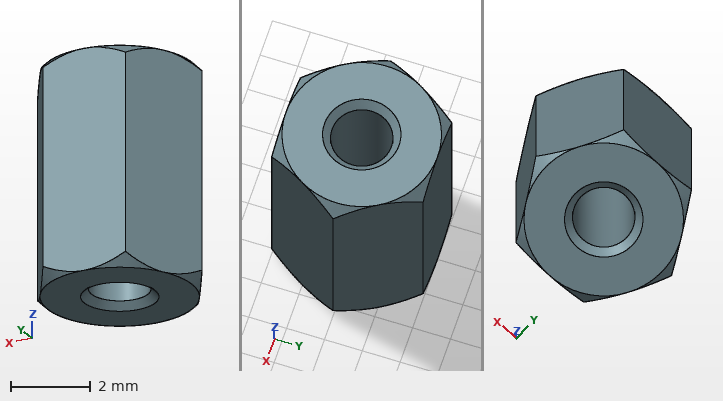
import cadquery as cq
import math

height = 6.0
across_flats = 4.0
bore_diameter = 1.565
countersink_diameter = 1.97

across_corners = across_flats / math.cos(math.radians(30))
corner_chamfer = (across_corners - across_flats) / 2
countersink_depth = (countersink_diameter - bore_diameter) / 2


def hexagonal_body():
    """Hexagonal prism, centred on Z, with two corners on the X axis."""
    return cq.Workplane("XY").polygon(6, across_corners).extrude(height)


def chamfer_envelope():
    """Cylinder through the corners; its 45-degree chamfers reach the flats at both ends."""
    return (
        cq.Workplane("XY")
        .circle(across_corners / 2)
        .extrude(height)
        .edges("%CIRCLE")
        .chamfer(corner_chamfer)
    )


def countersunk_bore():
    """Through bore with a 45-degree countersink at each end."""
    bore_radius = bore_diameter / 2
    countersink_radius = countersink_diameter / 2
    return (
        cq.Workplane("XZ")
        .moveTo(0, 0)
        .lineTo(countersink_radius, 0)
        .lineTo(bore_radius, countersink_depth)
        .lineTo(bore_radius, height - countersink_depth)
        .lineTo(countersink_radius, height)
        .lineTo(0, height)
        .close()
        .revolve(360, (0, 0, 0), (0, 1, 0))
    )


result = hexagonal_body().intersect(chamfer_envelope()).cut(countersunk_bore())